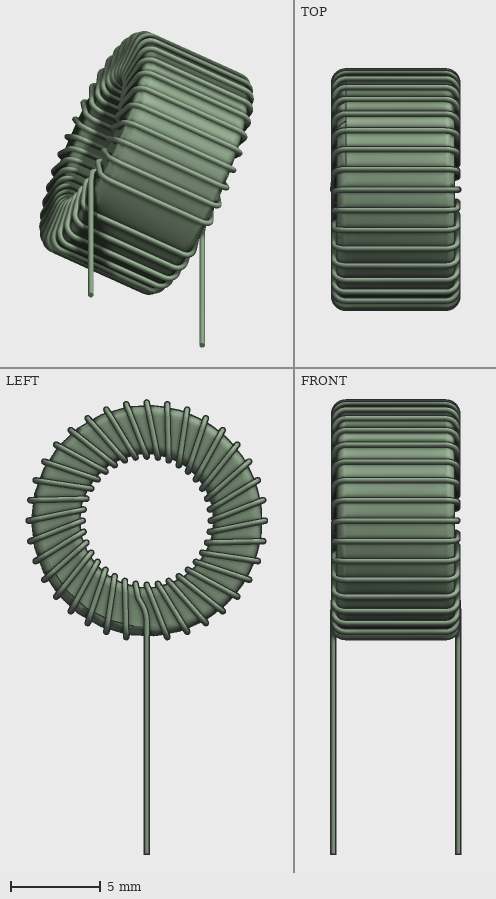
import cadquery as cq
import math

core_outer_diameter = 12.9
core_inner_diameter = 7.5
core_width = 6.58
core_edge_radius = 0.5

wire_diameter = 0.3
winding_gap = 0.013
slots = 36
slot_angle = 360 / slots
bottom_slot = slots // 2

lead_offset = 3.495
jog_start_z = -4.3
jog_end_z = -5.15
side_jog_y = 0.48
lead_end_z = -18.65
jog_start_bend = 0.5
jog_end_bend = 1.9

wire_radius = wire_diameter / 2
wire_clearance = wire_radius + winding_gap
outer_pass_radius = core_outer_diameter / 2 + wire_clearance
inner_pass_radius = core_inner_diameter / 2 - wire_clearance
face_pass_x = core_width / 2 + wire_radius
corner_bend = core_edge_radius + wire_radius


def make_core():
    """Ring with all four circular edges rounded."""
    ring = (
        cq.Workplane("YZ", origin=(-core_width / 2, 0, 0))
        .circle(core_outer_diameter / 2)
        .circle(core_inner_diameter / 2)
        .extrude(core_width)
    )
    return ring.edges("%CIRCLE").fillet(core_edge_radius)


def slot_point(x, radius, slot):
    """Point at a winding slot, counted from the top towards -Y."""
    angle = math.radians(slot * slot_angle)
    return cq.Vector(x, -radius * math.sin(angle), radius * math.cos(angle))


def coil_corners():
    """Sharp corners of the wire path, each paired with its bend radius."""
    first_slot = bottom_slot + 1
    last_slot = first_slot + slots - 1

    corners = [
        (cq.Vector(-lead_offset, 0, lead_end_z), 0),
        (cq.Vector(-lead_offset, 0, jog_end_z), jog_end_bend),
        (cq.Vector(-face_pass_x, side_jog_y, jog_start_z), jog_start_bend),
    ]

    for slot in range(first_slot, last_slot + 1):
        corners.append((slot_point(-face_pass_x, inner_pass_radius, slot), corner_bend))
        corners.append((slot_point(face_pass_x, inner_pass_radius, slot), corner_bend))
        if slot < last_slot:
            corners.append((slot_point(face_pass_x, outer_pass_radius, slot), corner_bend))
            corners.append((slot_point(-face_pass_x, outer_pass_radius, slot), corner_bend))

    corners += [
        (cq.Vector(face_pass_x, 0, jog_start_z), jog_start_bend),
        (cq.Vector(lead_offset, 0, jog_end_z), jog_end_bend),
        (cq.Vector(lead_offset, 0, lead_end_z), 0),
    ]
    return corners


def rounded_path(corners):
    """Wire of straight runs joined by tangent arcs at the corners."""
    edges = []
    run_start = corners[0][0]
    for i in range(1, len(corners) - 1):
        corner, bend = corners[i]
        back = (corners[i - 1][0] - corner).normalized()
        ahead = (corners[i + 1][0] - corner).normalized()
        half_angle = back.getAngle(ahead) / 2
        trim = bend / math.tan(half_angle)
        sagitta = bend / math.sin(half_angle) - bend
        arc_start = corner + back * trim
        arc_middle = corner + (back + ahead).normalized() * sagitta
        arc_end = corner + ahead * trim
        edges.append(cq.Edge.makeLine(run_start, arc_start))
        edges.append(cq.Edge.makeThreePointArc(arc_start, arc_middle, arc_end))
        run_start = arc_end
    edges.append(cq.Edge.makeLine(run_start, corners[-1][0]))
    return cq.Wire.assembleEdges(edges)


def make_winding():
    """Round wire swept from one lead end to the other."""
    corners = coil_corners()
    section = cq.Workplane("XY", origin=corners[0][0].toTuple()).circle(wire_radius)
    return section.sweep(cq.Workplane(obj=rounded_path(corners)))


core = make_core()
winding = make_winding()

result = cq.Compound.makeCompound([core.val(), winding.val()])